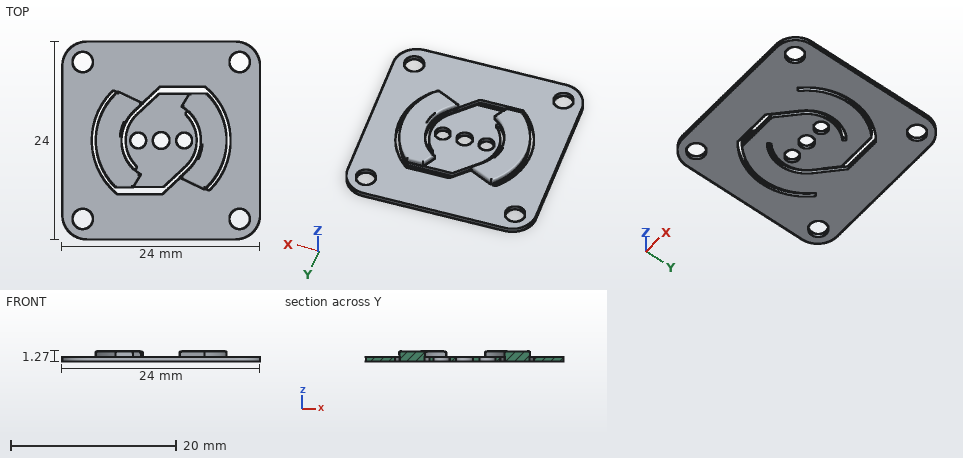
import cadquery as cq
import math

plate_side = 24.0
plate_thickness = 0.6
plate_corner_radius = 3.0
total_height = 1.27

mount_hole_diameter = 2.45
mount_hole_offset = 9.5
center_hole_diameter = 2.02
side_hole_diameter = 1.9
side_hole_offset = 2.78

outer_slot_radius = 8.4
arm_outer_radius = 7.9
arm_inner_radius = 4.85
hub_radius = 4.32
slot_outer_flat = 6.5
slot_inner_flat = 5.66
tangent_angle = -47.0
outer_slot_end_angle = 135.0
inner_slot_end_angle = 45.0
slot_corner_radius = 0.25

pad_height = total_height - plate_thickness
pad_edge_radius = 0.25
pad_overhang = 0.05
pad_outer_radius = arm_outer_radius + pad_overhang
pad_inner_radius = arm_inner_radius - pad_overhang
pad_flat = slot_inner_flat + pad_overhang
pad_root_outer_angle = 131.5
pad_root_inner_length = 1.45
pad_tip_angle = 239.0


def polar(radius, angle):
    a = math.radians(angle)
    return radius * math.cos(a), radius * math.sin(a)


def on_flat(radius, flat):
    """Point on the left half of a circle at y = -flat."""
    return -math.sqrt(radius**2 - flat**2), -flat


def tangent_at_flat(radius, flat):
    """Point at y = -flat on the line touching the circle at tangent_angle."""
    a = math.radians(tangent_angle)
    return (radius + flat * math.sin(a)) / math.cos(a), -flat


def slot_end(outer_radius, inner_radius, angle, direction):
    """Middle point of a round slot end; direction is +1 counterclockwise."""
    x, y = polar((outer_radius + inner_radius) / 2, angle)
    dx, dy = polar((outer_radius - inner_radius) / 2, angle + direction * 90)
    return x + dx, y + dy


def make_slot():
    outer_corner = on_flat(outer_slot_radius, slot_outer_flat)
    bend_corner = tangent_at_flat(arm_inner_radius, slot_outer_flat)
    hub_corner = tangent_at_flat(hub_radius, slot_inner_flat)
    arm_corner = on_flat(arm_outer_radius, slot_inner_flat)
    slot = (
        cq.Workplane("XY")
        .moveTo(*polar(outer_slot_radius, outer_slot_end_angle))
        .threePointArc((-outer_slot_radius, 0), outer_corner)
        .lineTo(*bend_corner)
        .lineTo(*polar(arm_inner_radius, tangent_angle))
        .threePointArc((arm_inner_radius, 0), polar(arm_inner_radius, inner_slot_end_angle))
        .threePointArc(
            slot_end(arm_inner_radius, hub_radius, inner_slot_end_angle, 1),
            polar(hub_radius, inner_slot_end_angle),
        )
        .threePointArc((hub_radius, 0), polar(hub_radius, tangent_angle))
        .lineTo(*hub_corner)
        .lineTo(*arm_corner)
        .threePointArc((-arm_outer_radius, 0), polar(arm_outer_radius, outer_slot_end_angle))
        .threePointArc(
            slot_end(outer_slot_radius, arm_outer_radius, outer_slot_end_angle, -1),
            polar(outer_slot_radius, outer_slot_end_angle),
        )
        .close()
        .extrude(plate_thickness)
    )
    for corner in (outer_corner, bend_corner, hub_corner, arm_corner):
        edge = cq.selectors.NearestToPointSelector((*corner, plate_thickness / 2))
        slot = slot.edges("|Z").edges(edge).fillet(slot_corner_radius)
    return slot


def make_pad():
    root_angle = tangent_angle + 180
    root_arc_start = polar(pad_inner_radius, root_angle)
    run_x, run_y = polar(pad_root_inner_length, root_angle - 90)
    root_inner = (root_arc_start[0] + run_x, root_arc_start[1] + run_y)
    tip_flat_radius = -pad_flat / math.sin(math.radians(pad_tip_angle))
    return (
        cq.Workplane("XY")
        .workplane(offset=plate_thickness)
        .moveTo(*polar(pad_outer_radius, pad_root_outer_angle))
        .threePointArc((-pad_outer_radius, 0), on_flat(pad_outer_radius, pad_flat))
        .lineTo(*polar(tip_flat_radius, pad_tip_angle))
        .lineTo(*polar(pad_inner_radius, pad_tip_angle))
        .threePointArc((-pad_inner_radius, 0), root_arc_start)
        .lineTo(*root_inner)
        .close()
        .extrude(pad_height)
        .faces(">Z")
        .edges()
        .fillet(pad_edge_radius)
    )


def make_plate():
    hole_pitch = 2 * mount_hole_offset
    return (
        cq.Workplane("XY")
        .rect(plate_side, plate_side)
        .extrude(plate_thickness)
        .edges("|Z")
        .fillet(plate_corner_radius)
        .faces(">Z")
        .workplane()
        .rect(hole_pitch, hole_pitch, forConstruction=True)
        .vertices()
        .hole(mount_hole_diameter)
        .faces(">Z")
        .workplane()
        .hole(center_hole_diameter)
        .faces(">Z")
        .workplane()
        .pushPoints([(-side_hole_offset, 0), (side_hole_offset, 0)])
        .hole(side_hole_diameter)
    )


result = make_plate()
slot = make_slot()
pad = make_pad()
for turn in (0, 180):
    result = result.cut(slot.rotate((0, 0, 0), (0, 0, 1), turn))
    result = result.union(pad.rotate((0, 0, 0), (0, 0, 1), turn))